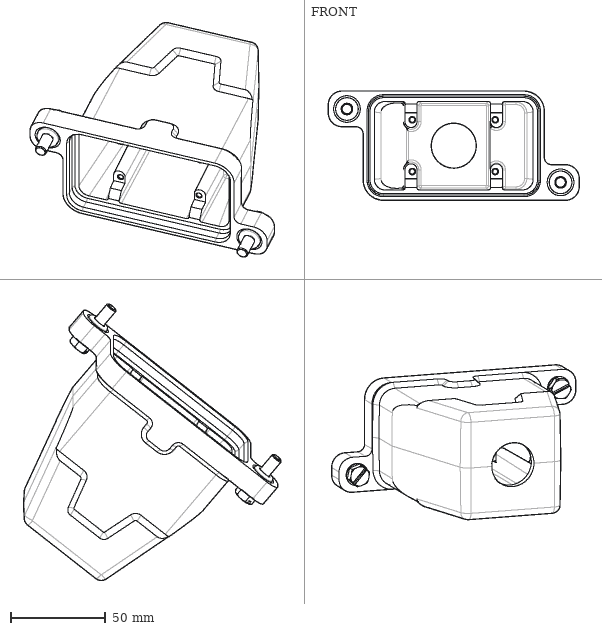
import cadquery as cq
import math

OVERALL_WIDTH = 133.0
BODY_HALF_Z = 29.0
STEP = 2.7
LOWER_HALF_Z = BODY_HALF_Z - STEP
BEVEL_ANGLE = 45.0
MARGIN = 0.7

HOOD_HALF_X = 45.1
SLOPE_START_Y = 35.1
REAR_HALF_X = 27.3
REAR_Y = 100.0
DRAFT = 1.0
HOOD_CORNER_R = 8.6
REAR_CORNER_R = 5.0
REAR_EDGE_R = 4.4

RECESS_Y = 57.0
TONGUE_Y = 76.9
TONGUE_BASE_HALF_X = 16.1
TONGUE_TIP_HALF_X = 10.4
TONGUE_BASE_R = 4.5
TONGUE_TIP_R = 0.5
RECESS_WALL_ANGLE = 50.0

FLANGE_DEPTH = 12.0
FLANGE_HALF_X = 48.0
FLANGE_CORNER_R = 10.9
LUG_HEIGHT = 19.0
LUG_CORNER_R = 7.5
LUG_ROOT_R = 3.7

PAD_BASE_Y = 24.6
PAD_BASE_HALF_X = 10.1
PAD_CORNER_R = 6.3
PAD_ROOT_R = 1.3
PAD_FOOT_HALF_X = 16.0

RIM_HALF_X = 45.9
RIM_HALF_Z = 27.0
RIM_CORNER_R = 8.6
RIM_BEVEL_DEPTH = 2.1
RIM_BEVEL = 0.8
LEDGE_Y = 8.6

CAVITY_HALF_X = 42.0
CAVITY_HALF_Z = 23.4
CAVITY_CORNER_R = 5.6
CAVITY_DRAFT = 0.7
CAVITY_REAR_Y = 95.8
CAVITY_REAR_HALF_X = 24.9
CAVITY_BEND_Y = 47.1
CAVITY_BEND_HALF_X = 38.6
FLOOR_R = 1.2
SHALLOW_FLOOR_Y = 46.5
CABLE_HOLE_R = 11.8

POST_X = 22.6
POST_HALF_WIDTH = 3.0
POST_TIP_Z = 9.7
POST_FACE_Y = 18.0
POST_ROOT_R = 1.3
RIB_TOP_Z = 17.3
RIB_SHOULDER_Y = 12.2
RIB_SHOULDER_Z = 17.7
RIB_FOOT_Z = 22.1
SCREW_X = 22.0
SCREW_Z = 13.7
SCREW_R = 1.3
SCREW_MOUTH_R = 1.7
SCREW_DEPTH = 10.6

BOLT_X = 56.5
BOLT_Z = 19.4
UPPER_BOLT_ANGLE = 6.0
LOWER_BOLT_ANGLE = -18.0
SHANK_R = 3.0
SHANK_END_Y = -11.7
SHANK_CHAMFER = 0.5
COLLAR_R = 6.0
COLLAR_ROUND_R = (COLLAR_R - SHANK_R) / 2
COLLAR_FRONT_Y = -1.6
SEAT_RIM_R = 7.0
SEAT_DEPTH = SEAT_RIM_R - COLLAR_R
WASHER_THICKNESS = 0.8
HEX_ACROSS_CORNERS = 11.7
HEX_FACE_ANGLE = 30.0
HEAD_END_Y = 17.0
HEAD_BEVEL = 0.7
SLOT_WIDTH = 1.5
SLOT_DEPTH = 1.7


def plane_at(y):
    """Work plane across the Y axis: local Y is +Z and extrusion goes toward +Y."""
    return cq.Workplane(cq.Plane(origin=(0, y, 0), xDir=(-1, 0, 0), normal=(0, 1, 0)))


def rounded_rectangle(y, half_x, half_z, radius):
    """Rounded rectangle across the Y axis, ready to be extruded toward +Y."""
    sketch = cq.Sketch().rect(2 * half_x, 2 * half_z).vertices().fillet(radius)
    return plane_at(y).placeSketch(sketch)


def with_mirror(solid):
    """The solid together with its image in the Z = 0 plane."""
    return solid.union(solid.mirror("XY"))


def half_turn(solid):
    """The solid turned by 180 degrees about the Y axis."""
    return solid.rotate((0, 0, 0), (0, 1, 0), 180)


def drafted_hood():
    """Upper half of the tapering hood, with draft away from the parting plane."""
    outline = [
        (-HOOD_HALF_X, 0),
        (HOOD_HALF_X, 0),
        (HOOD_HALF_X, SLOPE_START_Y),
        (REAR_HALF_X, REAR_Y),
        (-REAR_HALF_X, REAR_Y),
        (-HOOD_HALF_X, SLOPE_START_Y),
    ]
    sketch = cq.Sketch().polygon(outline + outline[:1])
    sketch = sketch.vertices(">Y").fillet(REAR_CORNER_R).reset()
    return cq.Workplane("XY").placeSketch(sketch).extrude(BODY_HALF_Z, taper=DRAFT)


def stepped_shape(outline, rounds, wall_angle):
    """Slab between the lower and upper broad faces with slanted walls.

    Each entry of rounds gives the X, Y and radius of a corner, which is rounded on both sides of X = 0.
    """
    slab = cq.Workplane("XY").polyline(outline).close().extrude(STEP)
    for x, y, radius in rounds:
        for corner_x in (-x, x):
            corner = cq.selectors.NearestToPointSelector((corner_x, y, STEP / 2))
            slab = slab.edges("|Z").edges(corner).fillet(radius)
    base = slab.faces("<Z").wires().val()
    slanted = cq.Workplane("XY").add(base).toPending().extrude(STEP, taper=wall_angle)
    return slanted.translate((0, 0, LOWER_HALF_Z))


def recess_tool():
    """Recess of the broad face; its slanted walls rise from the lower face."""
    side_x = HOOD_HALF_X + STEP
    outline = [
        (-side_x, 0),
        (-side_x, RECESS_Y),
        (-TONGUE_BASE_HALF_X, RECESS_Y),
        (-TONGUE_TIP_HALF_X, TONGUE_Y),
        (TONGUE_TIP_HALF_X, TONGUE_Y),
        (TONGUE_BASE_HALF_X, RECESS_Y),
        (side_x, RECESS_Y),
        (side_x, 0),
    ]
    rounds = [(TONGUE_BASE_HALF_X, RECESS_Y, TONGUE_BASE_R), (TONGUE_TIP_HALF_X, TONGUE_Y, TONGUE_TIP_R)]
    return stepped_shape(outline, rounds, -RECESS_WALL_ANGLE)


def raised_rear():
    """Thick rear part of the hood behind the recessed front."""
    half = drafted_hood()
    half = half.faces(">Z").edges("not <Y").fillet(REAR_EDGE_R).cut(recess_tool())
    front = cq.Workplane("XY").box(OVERALL_WIDTH, 2 * RECESS_Y, OVERALL_WIDTH)
    return with_mirror(half.cut(front))


def front_section(y):
    """Rounded section of the recessed front, with drafted sides, ready to be extruded toward +Y."""
    edge_half_x = HOOD_HALF_X - LOWER_HALF_Z * math.tan(math.radians(DRAFT))
    outline = [
        (HOOD_HALF_X, 0),
        (edge_half_x, LOWER_HALF_Z),
        (-edge_half_x, LOWER_HALF_Z),
        (-HOOD_HALF_X, 0),
        (-edge_half_x, -LOWER_HALF_Z),
        (edge_half_x, -LOWER_HALF_Z),
    ]
    sketch = cq.Sketch().polygon(outline + outline[:1])
    return plane_at(y).placeSketch(sketch.vertices(">Y or <Y").fillet(HOOD_CORNER_R))


def recessed_front():
    """Thinner front part of the hood, with broad rounded edges."""
    return front_section(0).extrude(RECESS_Y).intersect(with_mirror(drafted_hood()))


def flange():
    """Flange plate with one lug at upper left and one at lower right, and a bevelled root."""
    plate = rounded_rectangle(0, FLANGE_HALF_X, BODY_HALF_Z, FLANGE_CORNER_R).extrude(FLANGE_DEPTH)
    lug_x = OVERALL_WIDTH / 2
    lug = (
        cq.Workplane("XY")
        .box(lug_x, FLANGE_DEPTH, LUG_HEIGHT, centered=False)
        .translate((-lug_x, 0, BODY_HALF_Z - LUG_HEIGHT))
        .edges("|Y and <X")
        .fillet(LUG_CORNER_R)
    )
    plate = plate.union(lug).union(half_turn(lug))
    root_z = BODY_HALF_Z - LUG_HEIGHT
    for x, z in ((-FLANGE_HALF_X, root_z), (FLANGE_HALF_X, -root_z)):
        root = cq.selectors.NearestToPointSelector((x, FLANGE_DEPTH / 2, z))
        plate = plate.edges("|Y").edges(root).fillet(LUG_ROOT_R)
    bevel = (
        front_section(0)
        .extrude(STEP, taper=-BEVEL_ANGLE)
        .mirror("XZ")
        .translate((0, FLANGE_DEPTH + STEP, 0))
    )
    return plate.union(bevel)


def pads():
    """Bevelled pad in the middle of each broad side, flaring into the flange bevel."""
    foot_y = FLANGE_DEPTH + STEP
    outline = [
        (-PAD_FOOT_HALF_X, FLANGE_DEPTH / 2),
        (-PAD_FOOT_HALF_X, foot_y),
        (-PAD_BASE_HALF_X, foot_y),
        (-PAD_BASE_HALF_X, PAD_BASE_Y),
        (PAD_BASE_HALF_X, PAD_BASE_Y),
        (PAD_BASE_HALF_X, foot_y),
        (PAD_FOOT_HALF_X, foot_y),
        (PAD_FOOT_HALF_X, FLANGE_DEPTH / 2),
    ]
    rounds = [(PAD_BASE_HALF_X, foot_y, PAD_ROOT_R), (PAD_BASE_HALF_X, PAD_BASE_Y, PAD_CORNER_R)]
    return with_mirror(stepped_shape(outline, rounds, BEVEL_ANGLE))


def rim_tool():
    """Opening of the mating face: a bevel, a straight stretch and a second bevel to the ledge."""
    bevel_angle = math.degrees(math.atan2(RIM_BEVEL, RIM_BEVEL_DEPTH))
    mouth = rounded_rectangle(0, RIM_HALF_X, RIM_HALF_Z, RIM_CORNER_R)
    mouth = mouth.extrude(RIM_BEVEL_DEPTH, taper=bevel_angle)
    inner = (RIM_HALF_X - RIM_BEVEL, RIM_HALF_Z - RIM_BEVEL, RIM_CORNER_R - RIM_BEVEL)
    throat_depth = LEDGE_Y - 2 * RIM_BEVEL_DEPTH
    throat = rounded_rectangle(RIM_BEVEL_DEPTH, *inner).extrude(throat_depth)
    last = rounded_rectangle(LEDGE_Y - RIM_BEVEL_DEPTH, *inner)
    last = last.extrude(RIM_BEVEL_DEPTH, taper=bevel_angle)
    return mouth.union(throat).union(last)


def post_inner_x(y):
    """X of the post flank nearest the middle, which leans inward toward the rear."""
    return POST_X - POST_HALF_WIDTH - (y - LEDGE_Y) * math.tan(math.radians(CAVITY_DRAFT))


def room():
    """Cavity behind the ledge, shaped by the sloped sides and the shallow +X floor."""
    plan = [
        (-CAVITY_HALF_X, LEDGE_Y),
        (-CAVITY_BEND_HALF_X, CAVITY_BEND_Y),
        (-CAVITY_REAR_HALF_X, CAVITY_REAR_Y),
        (post_inner_x(CAVITY_REAR_Y), CAVITY_REAR_Y),
        (post_inner_x(SHALLOW_FLOOR_Y), SHALLOW_FLOOR_Y),
        (CAVITY_BEND_HALF_X, SHALLOW_FLOOR_Y),
        (CAVITY_HALF_X, LEDGE_Y),
    ]
    prism = cq.Workplane("XY").polyline(plan).close().extrude(BODY_HALF_Z, both=True)
    rear_half_z = CAVITY_HALF_Z - (CAVITY_REAR_Y - LEDGE_Y) * math.tan(math.radians(CAVITY_DRAFT))
    section = [
        (LEDGE_Y, -CAVITY_HALF_Z),
        (LEDGE_Y, CAVITY_HALF_Z),
        (CAVITY_REAR_Y, rear_half_z),
        (CAVITY_REAR_Y, -rear_half_z),
    ]
    wedge = cq.Workplane("YZ").polyline(section).close().extrude(OVERALL_WIDTH, both=True)
    cavity = prism.intersect(wedge)
    inner_x = (CAVITY_REAR_HALF_X + CAVITY_BEND_HALF_X) / 2 - MARGIN
    for x in (-inner_x, inner_x):
        for z in (-CAVITY_HALF_Z, CAVITY_HALF_Z):
            near = (x, LEDGE_Y, z - MARGIN)
            far = (math.copysign(OVERALL_WIDTH, x), REAR_Y, z + MARGIN)
            cavity = cavity.edges(cq.selectors.BoxSelector(near, far)).fillet(CAVITY_CORNER_R)
    return cavity


def post_root(x, side):
    """Concave round between the upper wall and one flank of a post; side is -1 or 1."""
    slant = math.tan(math.radians(CAVITY_DRAFT))
    length = CAVITY_REAR_Y - LEDGE_Y
    flank_x = x + side * POST_HALF_WIDTH
    tip_x = flank_x + side * POST_ROOT_R
    buried_x = flank_x - side * POST_ROOT_R
    arc_inset = POST_ROOT_R * (1 - math.sqrt(0.5))
    section = (
        cq.Workplane("XZ", origin=(0, LEDGE_Y, 0))
        .moveTo(tip_x, CAVITY_HALF_Z)
        .threePointArc(
            (flank_x + side * arc_inset, CAVITY_HALF_Z - arc_inset),
            (flank_x, CAVITY_HALF_Z - POST_ROOT_R),
        )
        .lineTo(buried_x, CAVITY_HALF_Z - POST_ROOT_R)
        .lineTo(buried_x, BODY_HALF_Z)
        .lineTo(tip_x, BODY_HALF_Z)
        .close()
    )
    along_root = cq.Vector(side * slant * length, length, -slant * length)
    return cq.Workplane(cq.Solid.extrudeLinear(section.wires().val(), [], along_root))


def screw_post(x):
    """Drafted post with a round end on the upper wall, with a rib that runs forward to the ledge."""
    tip_centre_z = POST_TIP_Z + POST_HALF_WIDTH
    bar = cq.Sketch().push([(-x, (tip_centre_z + BODY_HALF_Z) / 2)])
    bar = bar.rect(2 * POST_HALF_WIDTH, BODY_HALF_Z - tip_centre_z).reset()
    bar = bar.push([(-x, tip_centre_z)]).circle(POST_HALF_WIDTH).clean()
    post = plane_at(LEDGE_Y).placeSketch(bar).extrude(CAVITY_REAR_Y - LEDGE_Y, taper=-CAVITY_DRAFT)
    clearance = [
        (LEDGE_Y, 0),
        (LEDGE_Y, RIB_FOOT_Z),
        (RIB_SHOULDER_Y, RIB_SHOULDER_Z),
        (POST_FACE_Y, RIB_TOP_Z),
        (POST_FACE_Y, 0),
    ]
    front = cq.Workplane("YZ").polyline(clearance).close().extrude(OVERALL_WIDTH, both=True)
    return post.cut(front).union(post_root(x, -1)).union(post_root(x, 1))


def cavity_tool():
    """The cavity less its four screw posts."""
    cavity = room()
    for x in (-POST_X, POST_X):
        cavity = cavity.cut(with_mirror(screw_post(x)))
    cavity = cavity.faces(">Y").edges().fillet(FLOOR_R)
    shallow_floor = cq.selectors.BoxSelector(
        (POST_X, SHALLOW_FLOOR_Y - MARGIN, -BODY_HALF_Z), (HOOD_HALF_X, SHALLOW_FLOOR_Y + MARGIN, BODY_HALF_Z)
    )
    return cavity.edges(shallow_floor).fillet(FLOOR_R)


def screw_hole():
    """Bevelled blind hole in the end of a post."""
    hole = plane_at(POST_FACE_Y).circle(SCREW_R).extrude(SCREW_DEPTH)
    mouth_depth = SCREW_MOUTH_R - SCREW_R
    mouth = plane_at(POST_FACE_Y).circle(SCREW_MOUTH_R).extrude(mouth_depth, taper=BEVEL_ANGLE)
    return hole.union(mouth)


def bolt_hole():
    """Bolt hole through a lug, with a cone and a flat seat for the collar."""
    hole = plane_at(0).circle(SHANK_R).extrude(FLANGE_DEPTH)
    seat = plane_at(0).circle(SEAT_RIM_R).extrude(SEAT_DEPTH, taper=BEVEL_ANGLE)
    return hole.union(seat)


def make_housing():
    """Hood, flange and pads, hollowed out and drilled."""
    housing = recessed_front().union(raised_rear()).union(flange()).union(pads())
    housing = housing.cut(rim_tool()).cut(cavity_tool())
    housing = housing.cut(plane_at(LEDGE_Y).circle(CABLE_HOLE_R).extrude(REAR_Y))
    for x in (-SCREW_X, SCREW_X):
        for z in (-SCREW_Z, SCREW_Z):
            housing = housing.cut(screw_hole().translate((x, 0, z)))
    upper_hole = bolt_hole().translate((-BOLT_X, 0, BOLT_Z))
    return housing.cut(upper_hole).cut(half_turn(upper_hole))


def make_bolt(angle):
    """Bolt with a slotted hexagon head, a washer and a rounded collar, turned about its axis."""
    shank = plane_at(SHANK_END_Y).circle(SHANK_R).extrude(FLANGE_DEPTH - SHANK_END_Y)
    shank = shank.faces("<Y").chamfer(SHANK_CHAMFER)
    round_y = COLLAR_FRONT_Y + COLLAR_ROUND_R
    collar = (
        cq.Workplane("XY")
        .moveTo(SHANK_R, SEAT_DEPTH)
        .lineTo(COLLAR_R, SEAT_DEPTH)
        .lineTo(COLLAR_R, round_y)
        .threePointArc((COLLAR_R - COLLAR_ROUND_R, COLLAR_FRONT_Y), (SHANK_R, round_y))
        .close()
        .revolve(360, (0, 0, 0), (0, 1, 0))
    )
    washer = plane_at(FLANGE_DEPTH).circle(COLLAR_R).extrude(WASHER_THICKNESS)
    head_y = FLANGE_DEPTH + WASHER_THICKNESS
    head_height = HEAD_END_Y - head_y
    head = plane_at(head_y).polygon(6, HEX_ACROSS_CORNERS).extrude(head_height)
    crown = plane_at(head_y).circle(HEX_ACROSS_CORNERS / 2).extrude(head_height)
    head = head.intersect(crown.faces(">Y").chamfer(HEAD_BEVEL))
    slot = plane_at(HEAD_END_Y - SLOT_DEPTH).rect(HEX_ACROSS_CORNERS, SLOT_WIDTH).extrude(2 * SLOT_DEPTH)
    slot = slot.rotate((0, 0, 0), (0, 1, 0), HEX_FACE_ANGLE)
    bolt = shank.union(collar).union(washer).union(head).cut(slot)
    return bolt.rotate((0, 0, 0), (0, 1, 0), -angle)


def make_bolts():
    """One bolt in each lug."""
    places = [
        (-BOLT_X, BOLT_Z, UPPER_BOLT_ANGLE),
        (BOLT_X, -BOLT_Z, LOWER_BOLT_ANGLE),
    ]
    return [make_bolt(angle).translate((x, 0, z)) for x, z, angle in places]


housing = make_housing()
bolts = make_bolts()
result = cq.Compound.makeCompound([housing.val(), *[bolt.val() for bolt in bolts]])